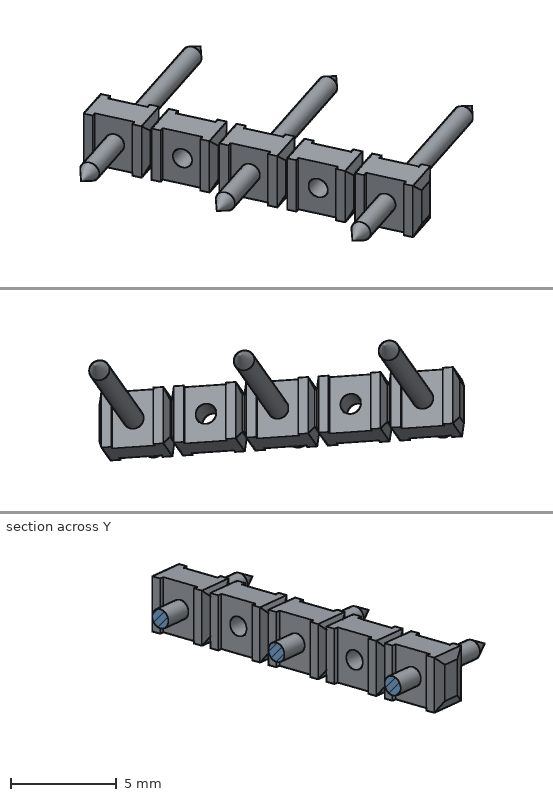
import cadquery as cq

total_length = 17.4
block_count = 5
pitch = 3.5
block_width = 2.04
block_height = 2.8

taper_length = 0.21
end_face_width = 0.95
end_face_height = 1.85

recess_length = 2.04
recess_depth = 0.25

pin_diameter = 1.0
pin_length = 14.0
pin_point_length = 1.01
pin_front_reach = 4.72
pin_spacing_in_blocks = 2

row_span = (block_count - 1) * pitch
block_length = total_length - row_span
core_length = block_length - 2 * taper_length
neck_length = pitch - block_length
pin_radius = pin_diameter / 2
pin_front = -pin_front_reach
pin_back = pin_front + pin_length


def tapered_end(direction):
    """Frustum on one block end, narrowing toward +X (1) or -X (-1)."""
    base = cq.Plane(
        origin=(direction * core_length / 2, 0, 0),
        xDir=(0, 1, 0),
        normal=(direction, 0, 0),
    )
    return (
        cq.Workplane(base)
        .rect(block_width, block_height)
        .workplane(offset=taper_length)
        .rect(end_face_width, end_face_height)
        .loft(ruled=True)
    )


def make_block():
    """Block with two tapered ends and recessed front and back faces."""
    block = cq.Workplane("XY").box(core_length, block_width, block_height)
    for direction in (-1, 1):
        block = block.union(tapered_end(direction))
    for side in (-1, 1):
        recess = cq.Workplane("XY").box(recess_length, 2 * recess_depth, block_height)
        block = block.cut(recess.translate((0, side * block_width / 2, 0)))
    return block


def make_neck():
    """Short bridge joining the end faces of two neighbouring blocks."""
    return cq.Workplane("XY").box(neck_length, end_face_width, end_face_height)


def make_pin():
    """Round pin along Y with a conical point at each end."""
    return (
        cq.Workplane("XY")
        .moveTo(0, pin_front)
        .lineTo(pin_radius, pin_front + pin_point_length)
        .lineTo(pin_radius, pin_back - pin_point_length)
        .lineTo(0, pin_back)
        .close()
        .revolve(360, (0, 0, 0), (0, 1, 0))
    )


def make_pin_hole():
    """Cylinder that cuts an empty pin hole through a block along Y."""
    return cq.Workplane("XZ").circle(pin_radius).extrude(block_width / 2, both=True)


result = cq.Workplane("XY")
for index in range(block_count):
    center_x = index * pitch - row_span / 2
    block = make_block()
    if index % pin_spacing_in_blocks == 0:
        block = block.union(make_pin())
    else:
        block = block.cut(make_pin_hole())
    result = result.union(block.translate((center_x, 0, 0)))

for index in range(block_count - 1):
    neck_x = (index + 0.5) * pitch - row_span / 2
    result = result.union(make_neck().translate((neck_x, 0, 0)))